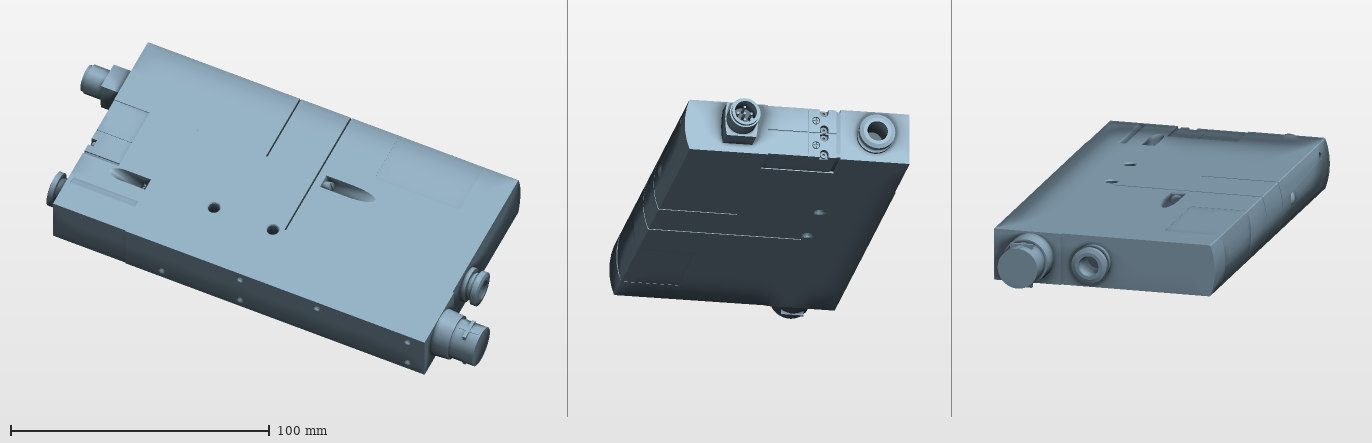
import cadquery as cq
import math


thickness = 20.5
half_thickness = thickness / 2
back_apex_y = 88.75
back_corner_y = 87.0
back_edge_bevel_y = 0.35
back_edge_bevel_z = 0.3

base_end_x = 158.7
ejector_end_x = 158.1
joint_gap = 0.65
valve_end_x = 31.0
valve_front_y = 0.3
controller_front_y = 56.0
controller_end_x = 64.75
stem_start_x = controller_end_x + joint_gap
ejector_start_x = 87.0
stem_end_x = ejector_start_x - joint_gap
ejector_front_y = 26.8

mount_hole_positions = [(57.1, 24.9), (82.2, 24.9)]
mount_hole_diameter = 4.5
mount_hole_chamfer = 0.4
thread_hole_diameter = 2.46
thread_mouth_diameter = 3.1
thread_hole_depth = 8.0
thread_hole_z = 6.4
thread_hole_positions = [
    (46.5, -thread_hole_z),
    (79.9, -thread_hole_z),
    (79.9, thread_hole_z),
    (112.7, thread_hole_z),
    (151.4, -thread_hole_z),
    (151.4, thread_hole_z),
]

silencer_y = 14.5
silencer_end_x = 176.05
silencer_collar_diameter = 19.1
silencer_collar_end_diameter = 18.0
silencer_collar_length = 7.0
silencer_barrel_diameter = 16.0
rib_start_x = 166.8
rib_end_x = 175.2
rib_width = 1.8
rib_rise = 0.15
tab_x = 170.8
tab_thickness = 1.3
tab_width = 8.9
tab_rise = 0.6

fitting_flange_diameter = 14.0
fitting_flange_length = 1.8
fitting_neck_diameter = 10.2
fitting_bead_diameter = 11.0
fitting_bead_length = 0.8
fitting_bead_start = 2.5
fitting_ring_start = 4.4
fitting_length = 7.0
fitting_ring_bevel_length = 0.5
fitting_bore_diameter = 8.0
fitting_face_diameter = 10.8
fitting_bore_depth = 12.0
valve_fitting_y = 14.1
valve_fitting_seat = 0.5
ejector_fitting_y = 39.9

plug_y = 68.0
plug_tip_x = -17.55
plug_thread_end_x = -16.1
plug_collar_end_x = -8.5
plug_tip_diameter = 10.8
plug_thread_diameter = 12.0
plug_collar_width = 11.6
plug_collar_bulge = 0.65
plug_collar_height = 13.5
plug_socket_diameter = 8.6
plug_socket_depth = 8.0
plug_pin_diameter = 1.0
plug_pin_length = 6.0
plug_pin_radius = 2.6
plug_key_diameter = 1.6
plug_key_radius = 3.9
button_x = 51.5
button_diameter = 5.0
button_top_y = 89.68
lamp_x = 11.0
lamp_z = 6.0
lamp_diameter = 3.1
lamp_floor_y = 87.0

pilot_length = 15.2
pilot_start_y = 27.5
pilot_face_y = 29.0
pilot_recess = 0.35
pilot_gap = 0.5
pilot_cap_y = 40.1
pilot_cap_groove = 0.4
pilot_cap_seam_width = 0.15
pilot_cap_seam_depth = 0.2
groove_depth = 0.5
pilot_center_z = (half_thickness - pilot_recess + pilot_gap / 2) / 2
screw_notch_y = 33.9
screw_notch_width = 3.3
screw_notch_depth = 2.3
screw_notch_offset = 3.4
screw_head_diameter = 2.46
screw_head_height = 1.0
screw_socket_diameter = 1.0
override_y = 37.1
override_diameter = 3.1
override_depth = 0.8
override_button_diameter = 2.46
cross_slot_width = 0.5
label_start_x = 1.7
label_end_x = 29.4
label_y = 13.6
label_width = 3.2
label_depth = 0.4

valve_pocket_tip_x = 13.0
valve_pocket_end_x = 29.4
valve_pocket_y = 24.2
valve_pocket_diameter = 5.4
valve_pocket_slope = 27.0
valve_pocket_screw_height = 0.8
ejector_pocket_tip_x = 112.2
ejector_pocket_end_x = 89.9
ejector_pocket_y = 54.4
ejector_pocket_diameter = 6.0
ejector_pocket_slope = 16.0
ejector_pocket_screw_height = 3.0
pocket_screw_diameter = 4.3
pocket_screw_slot_width = 0.8
pocket_screw_slot_depth = 0.4

window_start_x = 107.3
window_end_x = 143.5
window_front_y = 64.1
window_corner_radius = 1.0
window_recess = 0.1
window_back_recess = 0.4


def box(x0, x1, y0, y1, z0=-half_thickness, z1=half_thickness):
    """Box given by its limits along X, Y and Z."""
    return cq.Workplane("XY").box(x1 - x0, y1 - y0, z1 - z0, centered=False).translate((x0, y0, z0))


def x_cylinder(diameter, x0, x1, y, z=0):
    """Cylinder along X from x0 to x1."""
    return cq.Workplane("YZ", origin=(x0, y, z)).circle(diameter / 2).extrude(x1 - x0)


def y_cylinder(diameter, y0, y1, x, z=0):
    """Cylinder along Y from y0 to y1."""
    return cq.Workplane("XZ", origin=(x, y0, z)).circle(diameter / 2).extrude(y0 - y1)


def domed_block(x0, x1, y0, apex_y=back_apex_y):
    """Full-thickness block with the domed, bevelled back."""
    bevel_z = half_thickness - back_edge_bevel_z
    return (
        cq.Workplane("YZ", origin=(x0, 0, 0))
        .moveTo(y0, -half_thickness)
        .lineTo(back_corner_y - back_edge_bevel_y, -half_thickness)
        .lineTo(back_corner_y, -bevel_z)
        .threePointArc((apex_y, 0), (back_corner_y, bevel_z))
        .lineTo(back_corner_y - back_edge_bevel_y, half_thickness)
        .lineTo(y0, half_thickness)
        .close()
        .extrude(x1 - x0)
    )


def push_in_fitting():
    """Outer shape of a push-in fitting along +X from the origin."""
    flange_r = fitting_flange_diameter / 2
    neck_r = fitting_neck_diameter / 2
    bead_r = fitting_bead_diameter / 2
    bead_end = fitting_bead_start + fitting_bead_length
    return (
        cq.Workplane("XY")
        .polyline([
            (0, 0),
            (0, flange_r),
            (fitting_flange_length, flange_r),
            (fitting_flange_length, neck_r),
            (fitting_bead_start, neck_r),
            (fitting_bead_start, bead_r),
            (bead_end, bead_r),
            (bead_end, neck_r),
            (fitting_ring_start, neck_r),
            (fitting_ring_start, flange_r),
            (fitting_length - fitting_ring_bevel_length, flange_r),
            (fitting_length, fitting_face_diameter / 2),
            (fitting_length, 0),
        ])
        .close()
        .revolve(360, (0, 0, 0), (1, 0, 0))
    )


def add_fitting(body, x, y, turn):
    """Join a fitting to an end face; turn = 180 points it toward -X."""
    def placed(shape):
        return shape.rotate((0, 0, 0), (0, 0, 1), turn).translate((x, y, 0))

    bore = x_cylinder(fitting_bore_diameter, fitting_length - fitting_bore_depth, fitting_length, 0)
    return body.union(placed(push_in_fitting())).cut(placed(bore))


def add_sloping_pocket(body, tip_x, end_x, y, diameter, slope, screw_height):
    """Sink a round-bottomed trough sloping from tip_x down to end_x, with a slotted screw on its end wall."""
    angle = math.radians(slope)
    heading = math.copysign(1, end_x - tip_x)
    axis = cq.Vector(heading * math.cos(angle), 0, -math.sin(angle))
    surface_x = tip_x + heading * diameter / 2 / math.sin(angle)
    end = cq.Vector(surface_x, y, half_thickness) + axis * (abs(end_x - surface_x) * math.cos(angle))
    trough_length = abs(end_x - tip_x) / math.cos(angle)
    across = cq.Vector(0, 1, 0)
    trough_plane = cq.Plane(origin=end.toTuple(), xDir=across.toTuple(), normal=(-axis).toTuple())
    upward = math.copysign(1, trough_plane.yDir.z)
    half_width = diameter / 2
    open_height = upward * trough_length
    trough = (
        cq.Workplane(trough_plane)
        .moveTo(-half_width, open_height)
        .lineTo(-half_width, 0)
        .threePointArc((0, -upward * half_width), (half_width, 0))
        .lineTo(half_width, open_height)
        .close()
        .extrude(trough_length)
    )
    screw = cq.Workplane(trough_plane).circle(pocket_screw_diameter / 2).extrude(screw_height)
    slot = (
        cq.Workplane(trough_plane)
        .workplane(offset=screw_height - pocket_screw_slot_depth)
        .rect(pocket_screw_slot_width, pocket_screw_diameter)
        .extrude(pocket_screw_slot_depth)
    )
    return body.cut(trough).union(screw.cut(slot))


def make_silencer():
    collar_end = base_end_x + silencer_collar_length
    collar = (
        cq.Workplane("YZ", origin=(base_end_x, silencer_y, 0))
        .circle(silencer_collar_diameter / 2)
        .workplane(offset=silencer_collar_length)
        .circle(silencer_collar_end_diameter / 2)
        .loft(ruled=True)
    )
    barrel = x_cylinder(silencer_barrel_diameter, collar_end, silencer_end_x, silencer_y)
    silencer = collar.union(barrel)
    rib_z = silencer_barrel_diameter / 2 + rib_rise
    tab_z = silencer_barrel_diameter / 2 + tab_rise
    silencer = silencer.union(
        box(rib_start_x, rib_end_x, silencer_y - rib_width / 2, silencer_y + rib_width / 2, -rib_z, rib_z)
    )
    return silencer.union(
        box(
            tab_x - tab_thickness / 2,
            tab_x + tab_thickness / 2,
            silencer_y - tab_width / 2,
            silencer_y + tab_width / 2,
            -tab_z,
            tab_z,
        )
    )


def make_base():
    rail = box(valve_end_x, base_end_x, 0, ejector_front_y)
    shoulder = box(valve_end_x, stem_end_x, 0, controller_front_y)
    base = rail.union(shoulder).union(domed_block(stem_start_x, stem_end_x, 0))
    mount_holes = (
        cq.Workplane("XY", origin=(0, 0, -half_thickness))
        .pushPoints(mount_hole_positions)
        .circle(mount_hole_diameter / 2)
        .extrude(thickness)
    )
    base = base.cut(mount_holes)
    mouths_x = [x for x, _ in mount_hole_positions]
    mouths_y = [y for _, y in mount_hole_positions]
    around_mouths = cq.selectors.BoxSelector(
        (min(mouths_x) - mount_hole_diameter, min(mouths_y) - mount_hole_diameter, -thickness),
        (max(mouths_x) + mount_hole_diameter, max(mouths_y) + mount_hole_diameter, thickness),
    )
    base = base.edges(around_mouths).edges("%CIRCLE").chamfer(mount_hole_chamfer)
    for x, z in thread_hole_positions:
        base = base.cut(y_cylinder(thread_hole_diameter, 0, thread_hole_depth, x, z))
        mouth_depth = (thread_mouth_diameter - thread_hole_diameter) / 2
        mouth = cq.Solid.makeCone(
            thread_mouth_diameter / 2,
            thread_hole_diameter / 2,
            mouth_depth,
            cq.Vector(x, 0, z),
            cq.Vector(0, 1, 0),
        )
        base = base.cut(cq.Workplane(mouth))
    return base.union(make_silencer())


def add_plug(body):
    half_width = plug_collar_width / 2
    half_height = plug_collar_height / 2
    collar = (
        cq.Workplane("YZ", origin=(plug_collar_end_x, plug_y, 0))
        .moveTo(-half_width, half_height)
        .threePointArc((-half_width - plug_collar_bulge, 0), (-half_width, -half_height))
        .lineTo(half_width, -half_height)
        .threePointArc((half_width + plug_collar_bulge, 0), (half_width, half_height))
        .close()
        .extrude(-plug_collar_end_x)
    )
    thread = x_cylinder(plug_thread_diameter, plug_thread_end_x, plug_collar_end_x, plug_y)
    tip = x_cylinder(plug_tip_diameter, plug_tip_x, plug_thread_end_x, plug_y)
    socket_floor_x = plug_tip_x + plug_socket_depth
    socket = x_cylinder(plug_socket_diameter, plug_tip_x, socket_floor_x, plug_y)
    body = body.union(collar).union(thread).union(tip).cut(socket)
    pins = [(0, 0)] + [
        (plug_pin_radius * math.cos(math.radians(a)), plug_pin_radius * math.sin(math.radians(a)))
        for a in range(0, 360, 90)
    ]
    for dy, dz in pins:
        pin = x_cylinder(
            plug_pin_diameter, socket_floor_x - plug_pin_length, socket_floor_x, plug_y + dy, dz
        )
        body = body.union(pin)
    key_offset = plug_key_radius * math.sqrt(0.5)
    key = x_cylinder(plug_key_diameter, plug_thread_end_x, socket_floor_x, plug_y - key_offset, -key_offset)
    return body.union(key)


def make_controller():
    controller = domed_block(0, controller_end_x, controller_front_y)
    controller = add_plug(controller)
    button_rise = button_top_y - back_apex_y
    sphere_radius = ((button_diameter / 2) ** 2 + button_rise ** 2) / (2 * button_rise)
    button = cq.Workplane("XY", origin=(button_x, button_top_y - sphere_radius, 0)).sphere(sphere_radius)
    controller = controller.union(button)
    return controller.cut(y_cylinder(lamp_diameter, lamp_floor_y, back_apex_y, lamp_x, lamp_z))


def add_pilot_details(body, side):
    """Screws and manual override of one pilot; side is +1 for the upper one, -1 for the lower."""
    center_z = side * pilot_center_z
    half_notch = screw_notch_width / 2
    pilot_half_height = half_thickness - pilot_recess - pilot_center_z
    for direction in (-1, 1):
        z = center_z + direction * screw_notch_offset
        open_z = center_z + direction * pilot_half_height
        notch = x_cylinder(screw_notch_width, 0, screw_notch_depth, screw_notch_y, z).union(
            box(
                0,
                screw_notch_depth,
                screw_notch_y - half_notch,
                screw_notch_y + half_notch,
                min(z, open_z),
                max(z, open_z),
            )
        )
        head_x = screw_notch_depth - screw_head_height
        head = x_cylinder(screw_head_diameter, head_x, screw_notch_depth, screw_notch_y, z).cut(
            x_cylinder(screw_socket_diameter, head_x, screw_notch_depth, screw_notch_y, z)
        )
        body = body.cut(notch).union(head)
    body = body.cut(x_cylinder(override_diameter, 0, override_depth, override_y, center_z))
    button = x_cylinder(override_button_diameter, 0, override_depth, override_y, center_z)
    slot_half = cross_slot_width / 2
    reach = override_button_diameter / 2
    for half_y, half_z in [(slot_half, reach), (reach, slot_half)]:
        button = button.cut(
            box(
                0,
                override_depth / 2,
                override_y - half_y,
                override_y + half_y,
                center_z - half_z,
                center_z + half_z,
            )
        )
    return body.union(button)


def make_valve_block():
    block = box(0, valve_end_x, valve_front_y, controller_front_y)
    pilot_z = half_thickness - pilot_recess
    for z0, z1 in [(pilot_z, half_thickness), (-half_thickness, -pilot_z)]:
        block = block.cut(box(0, pilot_length, pilot_face_y, controller_front_y, z0, z1))
    block = block.cut(
        box(0, groove_depth, pilot_face_y, controller_front_y, -pilot_gap / 2, pilot_gap / 2)
    )
    cap_half = pilot_cap_groove / 2
    block = block.cut(box(0, groove_depth, pilot_cap_y - cap_half, pilot_cap_y + cap_half))
    seam_half = pilot_cap_seam_width / 2
    seam_z = pilot_z - pilot_cap_seam_depth
    for z0, z1 in [(seam_z, half_thickness), (-half_thickness, -seam_z)]:
        block = block.cut(box(0, pilot_length, pilot_cap_y - seam_half, pilot_cap_y + seam_half, z0, z1))
    for z0, z1 in [(pilot_z - groove_depth, half_thickness), (-half_thickness, groove_depth - pilot_z)]:
        block = block.cut(box(0, pilot_length, pilot_start_y, pilot_face_y, z0, z1))
    block = block.cut(box(0, groove_depth, pilot_start_y, pilot_face_y))
    for side in (1, -1):
        block = add_pilot_details(block, side)

    groove_radius = ((label_width / 2) ** 2 + label_depth ** 2) / (2 * label_depth)
    groove_z = half_thickness - label_depth + groove_radius
    block = block.cut(x_cylinder(2 * groove_radius, label_start_x, label_end_x, label_y, groove_z))
    block = add_sloping_pocket(
        block,
        valve_pocket_tip_x,
        valve_pocket_end_x,
        valve_pocket_y,
        valve_pocket_diameter,
        valve_pocket_slope,
        valve_pocket_screw_height,
    )
    return add_fitting(block, valve_fitting_seat, valve_fitting_y, 180)


def make_ejector():
    ejector = domed_block(ejector_start_x, ejector_end_x, ejector_front_y)
    window_cut = (
        box(window_start_x, window_end_x, window_front_y, back_apex_y)
        .edges("|Z and <Y")
        .fillet(window_corner_radius)
    )
    core_z = half_thickness - window_recess
    core_apex_y = back_apex_y - window_back_recess
    core = domed_block(window_start_x, window_end_x, window_front_y, core_apex_y).intersect(
        box(window_start_x, window_end_x, window_front_y, back_apex_y, -core_z, core_z)
    )
    ejector = ejector.cut(window_cut.cut(core))
    ejector = add_sloping_pocket(
        ejector,
        ejector_pocket_tip_x,
        ejector_pocket_end_x,
        ejector_pocket_y,
        ejector_pocket_diameter,
        ejector_pocket_slope,
        ejector_pocket_screw_height,
    )
    return add_fitting(ejector, ejector_end_x, ejector_fitting_y, 0)


base = make_base()
controller = make_controller()
valve_block = make_valve_block()
ejector = make_ejector()

result = cq.Compound.makeCompound([base.val(), controller.val(), valve_block.val(), ejector.val()])